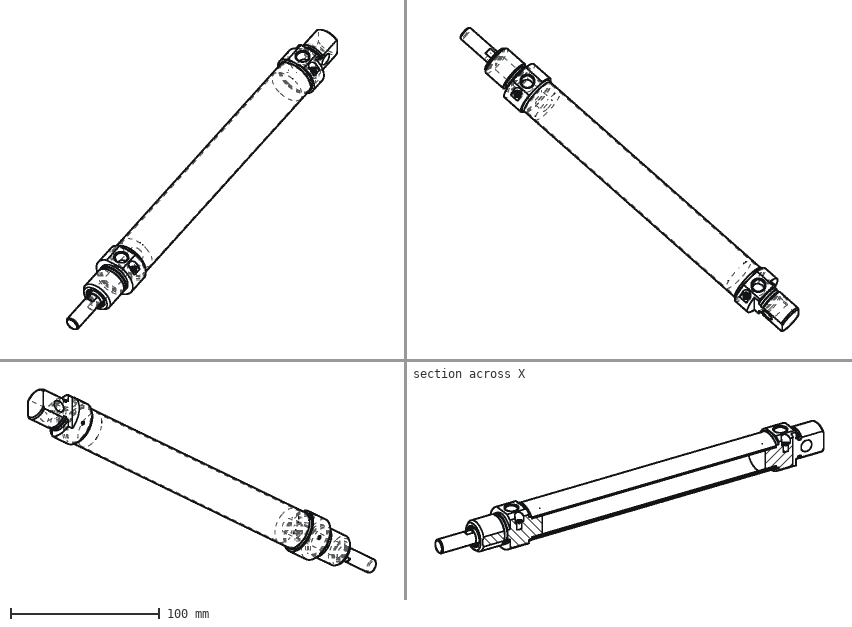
import cadquery as cq
import math


LENGTH = 300.0
ROD_TIP_Y = -LENGTH / 2
CLEVIS_END_Y = LENGTH / 2
FRONT_HEAD_Y = -100.0
FRONT_NOSE_Y = -122.5
REAR_HEAD_Y = 128.0
HEAD_LENGTH = 15.3
LIP_LENGTH = 1.8
SPIGOT_LENGTH = 9.0

HEAD_RADIUS = 15.0
PORT_FLAT_Z = 13.5
LIP_RADIUS = 13.5
TUBE_RADIUS = 13.2
TUBE_BORE_RADIUS = 12.3

THREAD_RADIUS = 22.0 / 2
GROOVE_RADIUS = 10.0
GROOVE_OFFSET = 1.8
GROOVE_WIDTH = 1.8
GROOVE_CHAMFER = 1.0
NOSE_CHAMFER_LENGTH = 1.8
NOSE_CHAMFER_DEPTH = 1.35
WIPER_RECESS_STEPS = (
    (7.5, 1.0),
    (6.3, 1.8),
)
WIPER_COLLAR_RADIUS = 10.5 / 2

TONGUE_WIDTH = 16.0
TONGUE_FLAT_DEPTH = 4.0
TONGUE_CHAMFER = 1.05
PIVOT_DIAMETER = 8.5
PIVOT_Y = 136.2

PORT_DIAMETER = 8.5
PORT_RIM_DIAMETER = 10.0
PORT_RIM_CHAMFER = (PORT_RIM_DIAMETER - PORT_DIAMETER) / 2
PORT_CORE_RADIUS = 11.0 / 2

SCREW_X = 10.2
REAR_SCREW_SETBACK = 5.7
SCREW_DIAMETER = 3.5
SCREW_LENGTH = 5.5
SCREW_SLOT_WIDTH = 1.0
SCREW_SLOT_DEPTH = 1.0
POCKET_WIDTH = 6.3
POCKET_FLOOR_Z = 7.2

BLEED_DIAMETER = 1.8
BLEED_DEPTH = 1.8
BLEED_Z = -8.0

ROD_RADIUS = 10.0 / 2
ROD_TIP_CHAMFER = 0.75
ROD_INNER_Y = -84.0
WRENCH_FLAT_WIDTH = 8.7
WRENCH_FLAT_LENGTH = 5.5
WRENCH_FLAT_Y = -128.7

FRONT_TUBE_Y = FRONT_HEAD_Y + HEAD_LENGTH
REAR_TUBE_Y = REAR_HEAD_Y - HEAD_LENGTH
FRONT_PORT_Y = FRONT_HEAD_Y + HEAD_LENGTH / 2
REAR_PORT_Y = REAR_HEAD_Y - HEAD_LENGTH / 2
FRONT_SCREW_Y = FRONT_PORT_Y
REAR_SCREW_Y = REAR_TUBE_Y + REAR_SCREW_SETBACK


def cylinder_y(radius, y_start, y_end):
    """Cylinder on the Y axis between two positions."""
    length = y_end - y_start
    return cq.Workplane("XZ", origin=(0, y_start, 0)).circle(radius).extrude(-length)


def cylinder_z(x, y, diameter, z_bottom, z_top):
    """Upright cylinder between two heights."""
    return cq.Workplane("XY", origin=(x, y, z_bottom)).circle(diameter / 2).extrude(z_top - z_bottom)


def box_between(x_range, y_range, z_range):
    """Box between two limits on each axis."""
    sizes = [high - low for low, high in (x_range, y_range, z_range)]
    corner = (x_range[0], y_range[0], z_range[0])
    return cq.Workplane("XY").box(*sizes, centered=False).translate(corner)


def revolve_profile(points):
    """Solid of revolution about Y from (radius, y) points."""
    return cq.Workplane("XY").polyline(points).close().revolve(360, (0, 0, 0), (0, 1, 0))


def neck_profile(face_y, end_y, chamfer_length, chamfer_depth):
    """Grooved and threaded neck running from a head face out to a chamfered end."""
    out = math.copysign(1, end_y - face_y)
    groove_start = face_y + out * GROOVE_OFFSET
    groove_end = groove_start + out * GROOVE_WIDTH
    return revolve_profile([
        (0, face_y),
        (THREAD_RADIUS, face_y),
        (THREAD_RADIUS, groove_start),
        (GROOVE_RADIUS, groove_start),
        (GROOVE_RADIUS, groove_end),
        (THREAD_RADIUS, groove_end + out * GROOVE_CHAMFER),
        (THREAD_RADIUS, end_y - out * chamfer_length),
        (THREAD_RADIUS - chamfer_depth, end_y),
        (0, end_y),
    ])


def head_drum(y_start, y_end):
    """Round head body with the port flat on top."""
    drum = cylinder_y(HEAD_RADIUS, y_start, y_end)
    above_flat = box_between(
        (-HEAD_RADIUS, HEAD_RADIUS), (y_start, y_end), (PORT_FLAT_Z, HEAD_RADIUS)
    )
    return drum.cut(above_flat)


def port_cutter(port_y):
    """Air port: a chamfered hole from the flat down to the round core of the head."""
    hole = cylinder_z(0, port_y, PORT_DIAMETER, 0, PORT_FLAT_Z)
    rim = (
        cq.Workplane("XY", origin=(0, port_y, PORT_FLAT_Z))
        .circle(PORT_RIM_DIAMETER / 2)
        .extrude(-PORT_RIM_CHAMFER, taper=45)
    )
    core = cylinder_y(PORT_CORE_RADIUS, port_y - PORT_DIAMETER, port_y + PORT_DIAMETER)
    return hole.union(rim).cut(core)


def screw_pocket_cutter(screw_y):
    """U-shaped pocket open to +X, with the screw hole in its floor."""
    half_width = POCKET_WIDTH / 2
    round_end = cylinder_z(SCREW_X, screw_y, POCKET_WIDTH, POCKET_FLOOR_Z, HEAD_RADIUS)
    open_end = box_between(
        (SCREW_X, HEAD_RADIUS),
        (screw_y - half_width, screw_y + half_width),
        (POCKET_FLOOR_Z, HEAD_RADIUS),
    )
    screw_hole = cylinder_z(
        SCREW_X, screw_y, SCREW_DIAMETER, POCKET_FLOOR_Z - SCREW_LENGTH, HEAD_RADIUS
    )
    return round_end.union(open_end).union(screw_hole)


def bleed_cutter(bleed_y):
    """Small blind hole entering the -X side of a head."""
    surface_x = -math.sqrt(HEAD_RADIUS**2 - BLEED_Z**2)
    return (
        cq.Workplane("YZ", origin=(-HEAD_RADIUS, bleed_y, BLEED_Z))
        .circle(BLEED_DIAMETER / 2)
        .extrude(HEAD_RADIUS + surface_x + BLEED_DEPTH)
    )


def cut_head_details(head, port_y, screw_y):
    """Cut the port, screw pocket and bleed hole that both heads share."""
    return head.cut(port_cutter(port_y)).cut(screw_pocket_cutter(screw_y)).cut(bleed_cutter(screw_y))


def make_tube():
    outside = cylinder_y(TUBE_RADIUS, FRONT_TUBE_Y + LIP_LENGTH, REAR_TUBE_Y - LIP_LENGTH)
    bore = cylinder_y(TUBE_BORE_RADIUS, FRONT_TUBE_Y, REAR_TUBE_Y)
    return outside.cut(bore)


def make_front_head():
    lip_end = FRONT_TUBE_Y + LIP_LENGTH
    head = (
        head_drum(FRONT_HEAD_Y, FRONT_TUBE_Y)
        .union(cylinder_y(LIP_RADIUS, FRONT_TUBE_Y, lip_end))
        .union(cylinder_y(TUBE_BORE_RADIUS, lip_end, lip_end + SPIGOT_LENGTH))
        .union(neck_profile(FRONT_HEAD_Y, FRONT_NOSE_Y, NOSE_CHAMFER_LENGTH, NOSE_CHAMFER_DEPTH))
    )
    for radius, depth in WIPER_RECESS_STEPS:
        head = head.cut(cylinder_y(radius, FRONT_NOSE_Y, FRONT_NOSE_Y + depth))
    collar = cylinder_y(WIPER_COLLAR_RADIUS, WRENCH_FLAT_Y + WRENCH_FLAT_LENGTH, FRONT_HEAD_Y)
    rod_bore = cylinder_y(ROD_RADIUS, ROD_TIP_Y, lip_end + SPIGOT_LENGTH)
    head = head.union(collar).cut(rod_bore)
    return cut_head_details(head, FRONT_PORT_Y, FRONT_SCREW_Y)


def make_rear_head():
    lip_end = REAR_TUBE_Y - LIP_LENGTH
    head = (
        head_drum(REAR_TUBE_Y, REAR_HEAD_Y)
        .union(cylinder_y(LIP_RADIUS, lip_end, REAR_TUBE_Y))
        .union(cylinder_y(TUBE_BORE_RADIUS, lip_end - SPIGOT_LENGTH, lip_end))
        .union(neck_profile(REAR_HEAD_Y, CLEVIS_END_Y, TONGUE_CHAMFER, TONGUE_CHAMFER))
    )
    flat_start = REAR_HEAD_Y - TONGUE_FLAT_DEPTH
    for side in (-1, 1):
        x_limits = sorted((side * TONGUE_WIDTH / 2, side * HEAD_RADIUS))
        head = head.cut(
            box_between(x_limits, (flat_start, CLEVIS_END_Y), (-HEAD_RADIUS, HEAD_RADIUS))
        )
    pivot_hole = (
        cq.Workplane("YZ", origin=(0, PIVOT_Y, 0))
        .circle(PIVOT_DIAMETER / 2)
        .extrude(TONGUE_WIDTH / 2, both=True)
    )
    return cut_head_details(head.cut(pivot_hole), REAR_PORT_Y, REAR_SCREW_Y)


def make_piston_rod():
    rod = cylinder_y(ROD_RADIUS, ROD_TIP_Y, ROD_INNER_Y).faces("<Y").chamfer(ROD_TIP_CHAMFER)
    for side in (-1, 1):
        z_limits = sorted((side * WRENCH_FLAT_WIDTH / 2, side * HEAD_RADIUS))
        rod = rod.cut(
            box_between(
                (-ROD_RADIUS, ROD_RADIUS),
                (WRENCH_FLAT_Y, WRENCH_FLAT_Y + WRENCH_FLAT_LENGTH),
                z_limits,
            )
        )
    return rod


def make_cushion_screw(screw_y):
    """Slotted screw whose head is flush with the pocket floor."""
    screw = cylinder_z(
        SCREW_X, screw_y, SCREW_DIAMETER, POCKET_FLOOR_Z - SCREW_LENGTH, POCKET_FLOOR_Z
    )
    slot = box_between(
        (SCREW_X - SCREW_DIAMETER, SCREW_X + SCREW_DIAMETER),
        (screw_y - SCREW_SLOT_WIDTH / 2, screw_y + SCREW_SLOT_WIDTH / 2),
        (POCKET_FLOOR_Z - SCREW_SLOT_DEPTH, POCKET_FLOOR_Z),
    )
    return screw.cut(slot)


tube = make_tube()
front_head = make_front_head()
rear_head = make_rear_head()
piston_rod = make_piston_rod()
cushion_screws = [make_cushion_screw(screw_y).val() for screw_y in (FRONT_SCREW_Y, REAR_SCREW_Y)]

result = cq.Compound.makeCompound(
    [tube.val(), front_head.val(), rear_head.val(), piston_rod.val(), *cushion_screws]
)